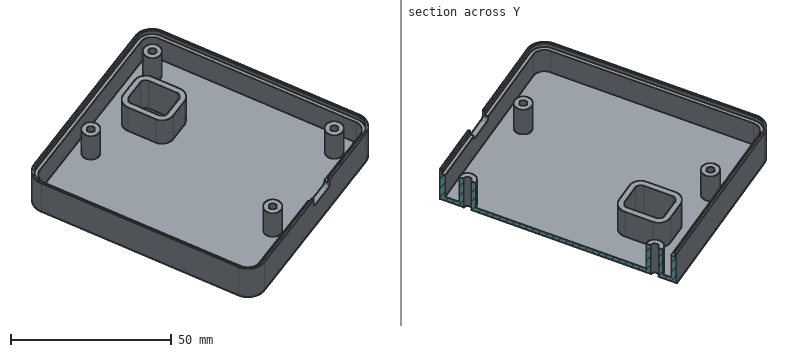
import cadquery as cq

LENGTH = 83.0
WIDTH = 75.0
HEIGHT = 13.0
CORNER_RADIUS = 6.0
WALL = 2.0
FLOOR = 2.0

RIM_WALL = 0.75
STEP_DEPTH = 1.7

POST_DIAMETER = 6.0
POST_HOLE_DIAMETER = 2.6
POST_TOP = 12.8
POST_XS = (-33.8, 31.8)
POST_YS = (-9.6, 28.7)

WINDOW_CENTER = (-23.4, 11.7)
WINDOW_LENGTH = 13.95
WINDOW_WIDTH = 11.0
WINDOW_RADIUS = 2.0
WINDOW_WALL = 2.0
WINDOW_TOP = POST_TOP

NOTCH_CENTER_Y = 4.15
NOTCH_WIDTH = 9.9
NOTCH_DEPTH = 3.2
NOTCH_RADIUS = 1.0


def rounded_block(length, width, radius, bottom, top, center=(0, 0)):
    """Upright block with rounded vertical edges between two heights."""
    return (
        cq.Workplane("XY", origin=(*center, bottom))
        .rect(length, width)
        .extrude(top - bottom)
        .edges("|Z")
        .fillet(radius)
    )


def inset_block(inset, bottom):
    """The outer shape moved inward by an inset, from a height up to the rim."""
    return rounded_block(
        LENGTH - 2 * inset, WIDTH - 2 * inset, CORNER_RADIUS - inset, bottom, HEIGHT
    )


def upright_cylinders(diameter, bottom, top):
    """One cylinder at each screw post position."""
    centers = [(x, y) for x in POST_XS for y in POST_YS]
    return (
        cq.Workplane("XY", origin=(0, 0, bottom))
        .pushPoints(centers)
        .circle(diameter / 2)
        .extrude(top - bottom)
    )


def notch_cutter():
    """Cutter through the +X wall with rounded lower corners."""
    wall_center_x = (LENGTH - WALL) / 2
    return (
        cq.Workplane("XY", origin=(wall_center_x, NOTCH_CENTER_Y, HEIGHT - NOTCH_DEPTH))
        .rect(2 * WALL, NOTCH_WIDTH)
        .extrude(NOTCH_DEPTH)
        .edges("|X and <Z")
        .fillet(NOTCH_RADIUS)
    )


tray = inset_block(0, 0).cut(inset_block(WALL, FLOOR))
tray = tray.cut(inset_block(RIM_WALL, HEIGHT - STEP_DEPTH))
tray = tray.cut(notch_cutter())

tray = tray.union(upright_cylinders(POST_DIAMETER, 0, POST_TOP))
tray = tray.cut(upright_cylinders(POST_HOLE_DIAMETER, 0, POST_TOP))

window_frame = rounded_block(
    WINDOW_LENGTH + 2 * WINDOW_WALL,
    WINDOW_WIDTH + 2 * WINDOW_WALL,
    WINDOW_RADIUS + WINDOW_WALL,
    0,
    WINDOW_TOP,
    WINDOW_CENTER,
)
window_opening = rounded_block(
    WINDOW_LENGTH, WINDOW_WIDTH, WINDOW_RADIUS, 0, WINDOW_TOP, WINDOW_CENTER
)
result = tray.union(window_frame).cut(window_opening)